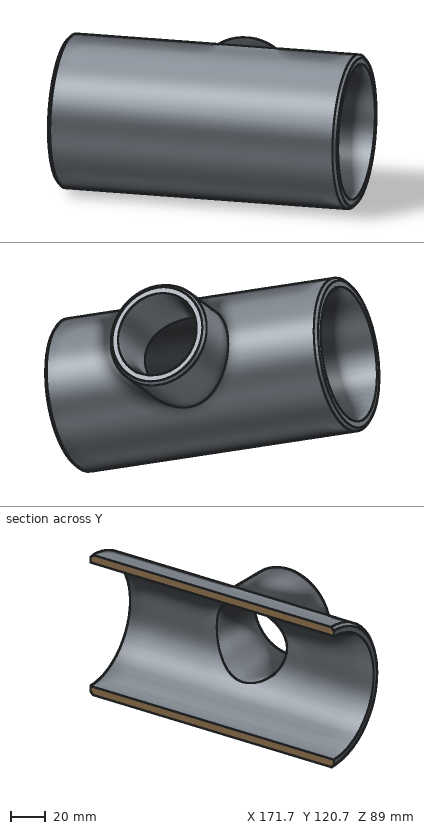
import cadquery as cq

run_length = 171.7
run_diameter = 89.0
wall = 5.5
run_bore = run_diameter - 2 * wall

branch_diameter = 60.5
branch_reach = 76.2
branch_bore = branch_diameter - 2 * wall

bevel = 1.9


def beveled_rod(diameter, start, end, bevel_start):
    """Solid rod along X with a beveled far end and, if asked, a beveled near end."""
    radius = diameter / 2
    end_radius = radius - bevel
    profile = cq.Workplane("XY").moveTo(start, 0)
    if bevel_start:
        profile = profile.lineTo(start, end_radius).lineTo(start + bevel, radius)
    else:
        profile = profile.lineTo(start, radius)
    profile = profile.lineTo(end - bevel, radius).lineTo(end, end_radius).lineTo(end, 0)
    return profile.close().revolve(360, (0, 0, 0), (1, 0, 0))


def turn_to_branch(rod):
    """Swing a rod from the X axis onto the Y axis."""
    return rod.rotate((0, 0, 0), (0, 0, 1), 90)


run = beveled_rod(run_diameter, -run_length / 2, run_length / 2, True)
branch = turn_to_branch(beveled_rod(branch_diameter, 0, branch_reach, False))

run_cutter = cq.Workplane("YZ").circle(run_bore / 2).extrude(run_length / 2, both=True)
branch_cutter = turn_to_branch(cq.Workplane("YZ").circle(branch_bore / 2).extrude(branch_reach))

result = run.union(branch).cut(run_cutter).cut(branch_cutter)